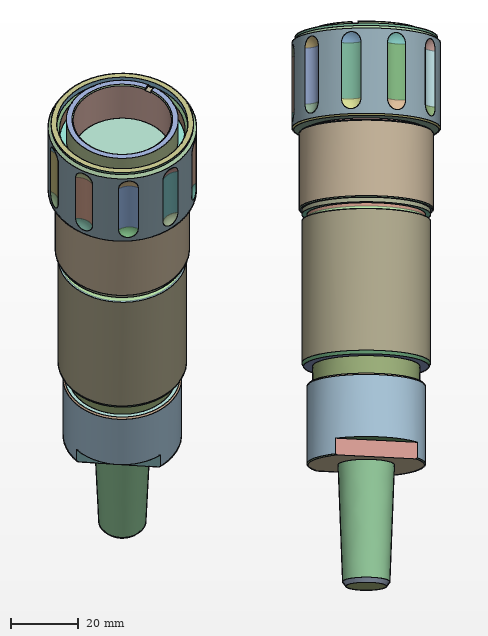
import cadquery as cq
import math

total_height = 166.4
shank_chamfer_height = 1.3
holder_bottom = 36.5
holder_top = 60.5
barrel_bottom = 66.0
barrel_top = 109.7
collar_bottom = 111.7
sleeve_bottom = 113.0
sleeve_top = 136.3
knob_bottom = 137.1
knob_shoulder = 163.2
knob_top = 164.9

shank_tip_radius = 6.0
shank_bottom_radius = 7.0
shank_top_radius = 8.3
holder_radius = 17.5
neck_radius = 15.8
barrel_radius = 19.0
groove_radius = 17.5
sleeve_radius = 19.8
knob_diameter = 43.8
knob_radius = knob_diameter / 2
knob_rim_radius = 21.0

edge_chamfer = 0.5
barrel_chamfer_height = 1.0
sleeve_chamfer = 0.3
groove_fillet = 1.0
holder_bottom_chamfer = 0.3

tube_outer_radius = 16.5
tube_bore_radius = 14.5
bore_depth = 13.6
bore_chamfer = 0.3
recess_mouth_radius = 19.3
recess_radius = 18.5
recess_chamfer = recess_mouth_radius - recess_radius
recess_step_height = 162.2
recess_floor = 158.0

flute_count = 10
flute_width = 5.8
flute_depth = 1.2
flute_bottom = 139.1
flute_top = 162.2

flat_distance = 12.3
flat_height = 5.0
flat_angle = -64.0

notch_width = 2.0
notch_depth = 0.7
notch_overlap = 0.3


def turned_body():
    """Revolve the stepped outline around Z."""
    below_groove = [
        (0, 0),
        (shank_tip_radius, 0),
        (shank_bottom_radius, shank_chamfer_height),
        (shank_top_radius, holder_bottom),
        (holder_radius - holder_bottom_chamfer, holder_bottom),
        (holder_radius, holder_bottom + holder_bottom_chamfer),
        (holder_radius, holder_top - edge_chamfer),
        (holder_radius - edge_chamfer, holder_top),
        (neck_radius, holder_top),
        (neck_radius, barrel_bottom),
        (barrel_radius - edge_chamfer, barrel_bottom),
        (barrel_radius, barrel_bottom + barrel_chamfer_height),
        (barrel_radius, barrel_top),
        (groove_radius + groove_fillet, barrel_top),
    ]
    fillet_end = (groove_radius, barrel_top + groove_fillet)
    above_groove = [
        (groove_radius, collar_bottom),
        (barrel_radius, collar_bottom),
        (barrel_radius, sleeve_bottom),
        (sleeve_radius - sleeve_chamfer, sleeve_bottom),
        (sleeve_radius, sleeve_bottom + sleeve_chamfer),
        (sleeve_radius, sleeve_top - sleeve_chamfer),
        (sleeve_radius - sleeve_chamfer, sleeve_top),
        (groove_radius, sleeve_top),
        (groove_radius, knob_bottom),
        (knob_radius - edge_chamfer, knob_bottom),
        (knob_radius, knob_bottom + edge_chamfer),
        (knob_radius, knob_shoulder),
        (knob_rim_radius, knob_shoulder + knob_radius - knob_rim_radius),
        (knob_rim_radius, knob_top),
        (recess_mouth_radius, knob_top),
        (recess_mouth_radius, recess_step_height + recess_chamfer),
        (recess_radius, recess_step_height),
        (recess_radius, recess_floor),
        (tube_outer_radius, recess_floor),
        (tube_outer_radius, total_height),
        (tube_bore_radius + bore_chamfer, total_height),
        (tube_bore_radius, total_height - bore_chamfer),
        (tube_bore_radius, total_height - bore_depth),
        (0, total_height - bore_depth),
    ]
    outline = (
        cq.Workplane("XZ")
        .polyline(below_groove)
        .radiusArc(fillet_end, groove_fillet)
        .polyline(above_groove, includeCurrent=True)
        .close()
    )
    return outline.revolve(360, (0, 0), (0, 1))


def flute_cutter():
    """Round-bottomed groove with ball ends, placed on the -Y side of the knob."""
    half_width = flute_width / 2
    chord_distance = math.sqrt(knob_radius**2 - half_width**2)
    floor_distance = knob_radius - flute_depth
    chord_depth = chord_distance - floor_distance
    ball_radius = (half_width**2 + chord_depth**2) / (2 * chord_depth)
    axis_distance = floor_distance + ball_radius
    end_reach = math.sqrt(ball_radius**2 - (axis_distance - knob_radius) ** 2)
    low_centre = flute_bottom + end_reach
    high_centre = flute_top - end_reach

    cutter = (
        cq.Workplane("XY", origin=(0, -axis_distance, low_centre))
        .circle(ball_radius)
        .extrude(high_centre - low_centre)
    )
    for centre_height in (low_centre, high_centre):
        ball = cq.Workplane("XY").sphere(ball_radius).translate((0, -axis_distance, centre_height))
        cutter = cutter.union(ball)
    return cutter


def cut_flutes(body):
    """Repeat the flute evenly around the knob."""
    cutter = flute_cutter()
    for index in range(flute_count):
        angle = index * 360 / flute_count
        body = body.cut(cutter.rotate((0, 0, 0), (0, 0, 1), angle))
    return body


def cut_wrench_flats(body):
    """Trim the holder foot on two opposite sides."""
    slab_thickness = holder_radius
    slab = (
        cq.Workplane("XY")
        .box(slab_thickness, 2 * holder_radius, flat_height, centered=(False, True, False))
        .translate((flat_distance, 0, holder_bottom))
    )
    for angle in (flat_angle, flat_angle + 180):
        body = body.cut(slab.rotate((0, 0, 0), (0, 0, 1), angle))
    return body


def cut_index_notch(body):
    """Cut straight through the tube wall, running a little past both faces."""
    notch_start = tube_bore_radius - notch_overlap
    notch_length = tube_outer_radius + notch_overlap - notch_start
    notch = (
        cq.Workplane("XY")
        .box(notch_width, notch_length, notch_depth, centered=(True, False, False))
        .translate((0, notch_start, total_height - notch_depth))
    )
    return body.cut(notch)


result = turned_body()
result = cut_flutes(result)
result = cut_wrench_flats(result)
result = cut_index_notch(result)